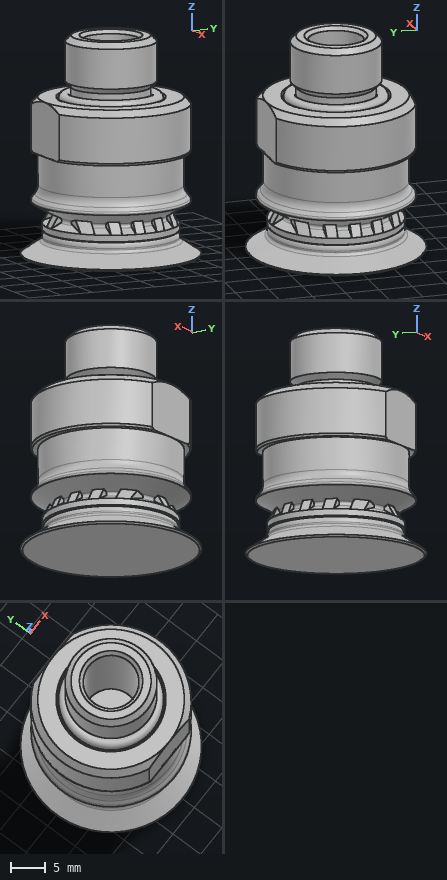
import cadquery as cq
import math

total_height = 32.08
thread_radius = 13.2 / 2
neck_radius = 11.5 / 2
thread_chamfer = thread_radius - neck_radius
thread_bottom_z = 24.57
bore_radius = 8.0 / 2
bore_chamfer = 0.55

collar_radius = 23.0 / 2
collar_bottom_z = 15.1
collar_top_z = 23.1
sleeve_radius = 21.0 / 2
collar_top_chamfer = collar_radius - sleeve_radius
collar_bottom_chamfer_width = 0.2
collar_bottom_chamfer_height = 0.35
across_flats = 2 * sleeve_radius
bore_floor_z = collar_bottom_z

groove_radius = 15.3 / 2
groove_rim_chamfer = 0.22
ring_mean_radius = (groove_radius + neck_radius) / 2
ring_tube_radius = 0.85
ring_standout = 0.7
ring_center_z = collar_top_z + ring_standout - ring_tube_radius
groove_floor_z = ring_center_z - ring_tube_radius

fold_radius = collar_radius
fold_edge_z = 7.92
fold_edge_top_z = 8.12
fold_cone_bottom_z = 8.4
fold_cone_bottom_radius = 11.35
fold_cone_top_z = 8.98
fold_cone_top_radius = 10.9
sleeve_bottom_z = 10.35

waist_slope = math.radians(30)
waist_fillet = 0.4
band_radius = 19.8 / 2
band_top_z = 4.7
band_bottom_z = 3.75
crease_z = 3.6
crease_radius = 9.65

bead_bottom_z = 2.82
foot_top_z = 2.6
lip_cone_top_z = 2.12
lip_cone_top_radius = 10.23
lip_edge_z = 0.3
lip_radius = 13.0
lip_bottom_radius = 12.7

rib_slope = math.radians(60)
rib_width = 1.5
rib_pitch = 3.5
side_rib_count = 5
end_rib_width = 1.55
end_rib_draft = math.radians(6)

waist_tangent = math.tan(waist_slope)
waist_apex_z = (fold_edge_z + band_top_z - (fold_radius - band_radius) * waist_tangent) / 2
waist_apex_radius = band_radius - (waist_apex_z - band_top_z) / waist_tangent


def revolve_about_z(profile):
    """Turn a closed (radius, z) profile about the Z axis."""
    return profile.close().revolve(360, (0, 0, 0), (0, 1, 0))


def make_turned_blank():
    """Outer shape from the lip up to the threaded end, with the seal groove."""
    fillet_length = waist_fillet / math.tan(waist_slope)
    fillet_dr = fillet_length * math.cos(waist_slope)
    fillet_dz = fillet_length * math.sin(waist_slope)
    waist_floor_radius = waist_apex_radius + waist_fillet * (1 / math.sin(waist_slope) - 1)
    fillet_end_radius = waist_apex_radius + fillet_dr
    profile = (
        cq.Workplane("XZ")
        .moveTo(0, 0)
        .lineTo(lip_bottom_radius, 0)
        .lineTo(lip_radius, lip_edge_z)
        .lineTo(lip_cone_top_radius, lip_cone_top_z)
        .tangentArcPoint((band_radius, foot_top_z), relative=False)
        .lineTo(band_radius, bead_bottom_z)
        .tangentArcPoint((crease_radius, crease_z), relative=False)
        .lineTo(band_radius, band_bottom_z)
        .lineTo(band_radius, band_top_z)
        .lineTo(fillet_end_radius, waist_apex_z - fillet_dz)
        .threePointArc((waist_floor_radius, waist_apex_z), (fillet_end_radius, waist_apex_z + fillet_dz))
        .lineTo(fold_radius, fold_edge_z)
        .lineTo(fold_radius, fold_edge_top_z)
        .tangentArcPoint((fold_cone_bottom_radius, fold_cone_bottom_z), relative=False)
        .lineTo(fold_cone_top_radius, fold_cone_top_z)
        .tangentArcPoint((sleeve_radius, sleeve_bottom_z), relative=False)
        .lineTo(sleeve_radius, collar_bottom_z)
        .lineTo(collar_radius - collar_bottom_chamfer_width, collar_bottom_z)
        .lineTo(collar_radius, collar_bottom_z + collar_bottom_chamfer_height)
        .lineTo(collar_radius, collar_top_z - collar_top_chamfer)
        .lineTo(sleeve_radius, collar_top_z)
        .lineTo(groove_radius + groove_rim_chamfer, collar_top_z)
        .lineTo(groove_radius, collar_top_z - groove_rim_chamfer)
        .lineTo(groove_radius, groove_floor_z)
        .lineTo(neck_radius, groove_floor_z)
        .lineTo(neck_radius, thread_bottom_z)
        .lineTo(thread_radius, thread_bottom_z + thread_chamfer)
        .lineTo(thread_radius, total_height - thread_chamfer)
        .lineTo(thread_radius - thread_chamfer, total_height)
        .lineTo(0, total_height)
    )
    return revolve_about_z(profile)


def make_flat_cutter():
    """Material outside the two wrench flats, over the collar height."""
    height = collar_top_z - collar_bottom_z
    clear_width = 3 * collar_radius
    base = cq.Workplane("XY").workplane(offset=collar_bottom_z)
    outside = base.rect(clear_width, clear_width).extrude(height)
    inside = base.rect(clear_width, across_flats).extrude(height)
    return outside.cut(inside)


def make_bore():
    """Blind bore with a chamfered mouth."""
    profile = (
        cq.Workplane("XZ")
        .moveTo(0, bore_floor_z)
        .lineTo(bore_radius, bore_floor_z)
        .lineTo(bore_radius, total_height - bore_chamfer)
        .lineTo(bore_radius + bore_chamfer, total_height)
        .lineTo(0, total_height)
    )
    return revolve_about_z(profile)


def make_rib_ring():
    """Ring that fills the waist out to the sloped outer faces of the ribs."""
    upper_cone_at_band = fold_edge_z - (fold_radius - band_radius) * waist_tangent
    height_gap = upper_cone_at_band - band_top_z
    rib_top_inset = height_gap / (math.tan(rib_slope) + waist_tangent)
    rib_top_radius = band_radius - rib_top_inset
    rib_top_z = band_top_z + rib_top_inset * math.tan(rib_slope)
    profile = (
        cq.Workplane("XZ")
        .moveTo(waist_apex_radius, waist_apex_z)
        .lineTo(band_radius, band_top_z)
        .lineTo(rib_top_radius, rib_top_z)
    )
    return revolve_about_z(profile)


def make_rib_plan():
    """Straight ribs along X, and a tapered rib at the -Y and +Y ends."""
    base = cq.Workplane("XY").workplane(offset=band_top_z)
    height = fold_edge_z - band_top_z
    plan = base.rarray(0.32, rib_pitch, 1, side_rib_count).rect(2 * fold_radius, rib_width).extrude(height)
    half_width = end_rib_width / 2
    root_half_width = half_width + (band_radius - waist_apex_radius) * math.tan(end_rib_draft)
    for side in (-1, 1):
        end_rib = base.polyline([
            (-half_width, side * band_radius),
            (half_width, side * band_radius),
            (root_half_width, side * waist_apex_radius),
            (-root_half_width, side * waist_apex_radius),
        ]).close().extrude(height)
        plan = plan.union(end_rib)
    return plan


def make_suction_cup():
    """Fitting and bellows cup in one piece."""
    ribs = make_rib_ring().intersect(make_rib_plan())
    return make_turned_blank().cut(make_flat_cutter()).cut(make_bore()).union(ribs)


def make_seal_ring():
    """Round-section ring seated in the groove around the neck."""
    section = cq.Workplane("XZ").center(ring_mean_radius, ring_center_z).circle(ring_tube_radius)
    return section.revolve(360, (-ring_mean_radius, 0, 0), (-ring_mean_radius, 1, 0))


suction_cup = make_suction_cup()
seal_ring = make_seal_ring()
result = cq.Compound.makeCompound([suction_cup.solids().val(), seal_ring.val()])